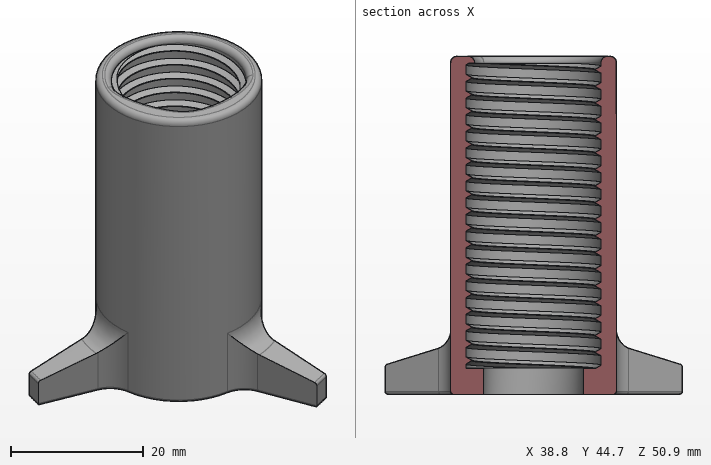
import cadquery as cq
import math

barrel_height = 50.91
barrel_radius = 25 / 2
top_rim_fillet = 1.0
bottom_edge_fillet = 0.5

through_hole_radius = 15 / 2
floor_thickness = 4.0
mouth_fillet = 1.0
collar_depth = 1.1
collar_bottom = barrel_height - collar_depth

thread_root_radius = 20.29 / 2
thread_crest_radius = 18.5 / 2
thread_pitch = 2.5
ridge_crest_width = 0.1
flank_angle = 30
ridge_exit_angle = -51
ridge_drop = 0.5
ridge_embed = 0.2

wing_count = 3
wing_reach = 25.0
wing_tip_width = 2.84
wing_offset = 0.08
wing_side_taper = 5.0
wing_tip_height = 4.5
wing_top_slope = 14.5
wing_side_fillet = 4.4
wing_top_fillet = 4.2
wing_tip_fillet = 0.5


def wing_side_arc(tip_edge):
    """Arc from the barrel to a wing side that ends at Y = tip_edge on the tip.

    Returns its end on the barrel, its middle and its end on the side, all on the +Y side.
    """
    taper = math.radians(wing_side_taper)
    center_distance = barrel_radius + wing_side_fillet
    side_line_distance = tip_edge * math.cos(taper) + wing_reach * math.sin(taper)
    center_angle = math.asin((side_line_distance + wing_side_fillet) / center_distance) - taper
    center_x = center_distance * math.cos(center_angle)
    center_y = center_distance * math.sin(center_angle)
    barrel_end_angle = math.pi + center_angle
    side_end_angle = 1.5 * math.pi - taper
    middle_angle = (barrel_end_angle + side_end_angle) / 2
    return [
        (center_x + wing_side_fillet * math.cos(angle), center_y + wing_side_fillet * math.sin(angle))
        for angle in (barrel_end_angle, middle_angle, side_end_angle)
    ]


def wing_plan():
    """Wing seen along Z, its sides flowing into the barrel through tangent arcs."""
    left_edge = wing_tip_width / 2 - wing_offset
    right_edge = wing_tip_width / 2 + wing_offset
    left_barrel, left_middle, left_side = wing_side_arc(left_edge)
    right_barrel, right_middle, right_side = [(x, -y) for x, y in wing_side_arc(right_edge)]
    return (
        cq.Workplane("XY")
        .moveTo(*left_barrel)
        .threePointArc(left_middle, left_side)
        .lineTo(wing_reach, left_edge)
        .lineTo(wing_reach, -right_edge)
        .lineTo(*right_side)
        .threePointArc(right_middle, right_barrel)
        .lineTo(0, 0)
        .close()
        .extrude(barrel_height / 2)
    )


def wing_height_envelope():
    """Turned body whose sloped top and root arc bound the wings from above."""
    slope = math.radians(wing_top_slope)
    center_x = barrel_radius + wing_top_fillet
    slope_drop = math.tan(slope)
    center_z = (
        wing_tip_height
        + (wing_reach - center_x) * slope_drop
        + wing_top_fillet / math.cos(slope)
    )

    def arc_point(angle):
        return (
            center_x + wing_top_fillet * math.cos(angle),
            center_z + wing_top_fillet * math.sin(angle),
        )

    on_slope_angle = 1.5 * math.pi - slope
    middle_angle = (math.pi + on_slope_angle) / 2
    outer_radius = wing_reach + wing_tip_width
    return (
        cq.Workplane("XZ")
        .lineTo(outer_radius, 0)
        .lineTo(outer_radius, wing_tip_height - (outer_radius - wing_reach) * slope_drop)
        .lineTo(*arc_point(on_slope_angle))
        .threePointArc(arc_point(middle_angle), (barrel_radius, center_z))
        .lineTo(0, center_z)
        .close()
        .revolve(360, (0, 0, 0), (0, 1, 0))
    )


def make_wing():
    wing = wing_plan().intersect(wing_height_envelope())
    return wing.faces(">X").edges(">Z").fillet(wing_tip_fillet)


def make_ridge():
    """Helical ridge that starts inside the floor and ends just below the mouth collar."""
    slope = math.tan(math.radians(flank_angle))
    base_radius = thread_root_radius + ridge_embed
    crest_half = ridge_crest_width / 2
    base_half = crest_half + (base_radius - thread_crest_radius) * slope
    section = [
        cq.Vector(thread_crest_radius, 0, -crest_half),
        cq.Vector(base_radius, 0, -base_half),
        cq.Vector(base_radius, 0, base_half),
        cq.Vector(thread_crest_radius, 0, crest_half),
    ]
    top = barrel_height - ridge_drop
    turns = math.ceil((top + base_half - floor_thickness) / thread_pitch)
    length = turns * thread_pitch
    helices = [cq.Wire.makeHelix(thread_pitch, thread_pitch, corner.x).Edges()[0] for corner in section]
    helices = [helix.translate(cq.Vector(0, 0, corner.z)) for helix, corner in zip(helices, section)]

    faces = []
    for turn in range(turns):
        rise = cq.Vector(0, 0, turn * thread_pitch)
        for index, helix in enumerate(helices):
            next_helix = helices[(index + 1) % len(helices)]
            faces.append(cq.Face.makeRuledSurface(helix, next_helix).translate(rise))
    start = cq.Face.makeFromWires(cq.Wire.makePolygon(section, close=True))
    faces.append(start)
    faces.append(start.translate(cq.Vector(0, 0, length)))
    ridge = cq.Solid.makeSolid(cq.Shell.makeShell(faces)).fix()

    above_thread = (
        cq.Workplane("XY", origin=(0, 0, collar_bottom))
        .rect(2 * barrel_height, 2 * barrel_height)
        .extrude(barrel_height)
    )
    return (
        cq.Workplane(obj=ridge)
        .translate((0, 0, top - length))
        .rotate((0, 0, 0), (0, 0, 1), ridge_exit_angle)
        .cut(above_thread)
    )


def mouth_opening():
    """Opening of the mouth collar: root radius all round, drawn in to the crest at the ridge."""
    ridge_height = thread_root_radius - thread_crest_radius
    half_spread = ridge_crest_width / 2 + ridge_height * math.tan(math.radians(flank_angle))
    spread_angle = 360 * half_spread / thread_pitch

    def polar(radius, angle):
        radians = math.radians(ridge_exit_angle + angle)
        return (radius * math.cos(radians), radius * math.sin(radians))

    def along(angle):
        return polar(1, angle + 90)

    crest = polar(thread_crest_radius, 0)
    flank_end = polar(thread_root_radius, spread_angle)
    flank_start = polar(thread_root_radius, -spread_angle)
    return (
        cq.Workplane("XY", origin=(0, 0, collar_bottom))
        .moveTo(*crest)
        .spline([flank_end], tangents=[along(0), along(spread_angle)], includeCurrent=True)
        .threePointArc(polar(thread_root_radius, 180), flank_start)
        .spline([crest], tangents=[along(-spread_angle), along(0)], includeCurrent=True)
        .close()
        .extrude(barrel_height - collar_bottom)
    )


def make_body():
    body = cq.Workplane("XY").circle(barrel_radius).extrude(barrel_height)
    body = body.faces(">Z").edges().fillet(top_rim_fillet)
    wing = make_wing()
    for index in range(wing_count):
        body = body.union(wing.rotate((0, 0, 0), (0, 0, 1), index * 360 / wing_count))
    return body.faces("<Z").edges().fillet(bottom_edge_fillet)


def cut_bore(body):
    through_hole = cq.Workplane("XY").circle(through_hole_radius).extrude(barrel_height)
    bore = (
        cq.Workplane("XY", origin=(0, 0, floor_thickness))
        .circle(thread_root_radius)
        .extrude(collar_bottom - floor_thickness)
    )
    return body.cut(through_hole).cut(bore)


def cut_mouth(body):
    body = body.cut(mouth_opening())
    mouth_edges = body.faces(">Z").val().innerWires()[0].Edges()
    return body.newObject(mouth_edges).fillet(mouth_fillet)


body = cut_mouth(cut_bore(make_body()))
result = body.union(make_ridge(), clean=False)